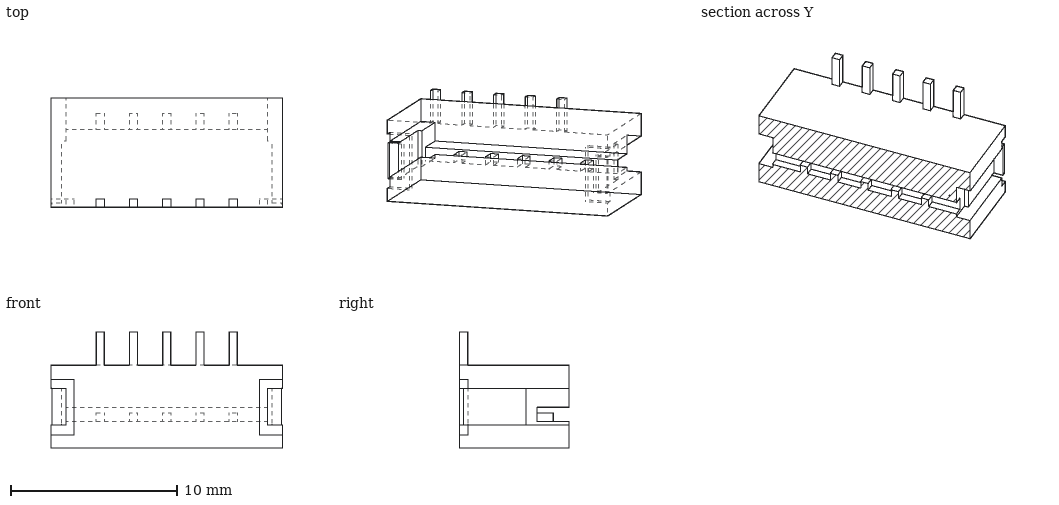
import cadquery as cq

length = 13.95
depth = 6.6
height = 5.0
front_y = -depth / 2
back_y = depth / 2
end_x = length / 2

groove_depth = 0.9
groove_bottom_z = 1.4
groove_height = 2.2

pocket_width = 1.4
pocket_depth = 0.5
pocket_bottom_z = 0.8
pocket_top_z = 4.15

slot_depth = 1.92
slot_bottom_z = 1.62
slot_height = 0.83

tab_thickness = 0.25
tab_length = 4.0
tab_end_gap = 0.05

pin_count = 5
pin_pitch = 2.0
pin_size = 0.5
pin_tail_height = 2.0
pin_tip_length = 0.97


def block(x_range, y_range, z_range):
    """Box filling the given (low, high) ranges along X, Y and Z."""
    size = [high - low for low, high in (x_range, y_range, z_range)]
    corner = (x_range[0], y_range[0], z_range[0])
    return cq.Workplane("XY").box(*size, centered=False).translate(corner)


def both_ends(left_shape):
    """A shape at the -X end together with its mirror image at the +X end."""
    return left_shape.union(left_shape.mirror("YZ"))


def end_groove():
    return block(
        (-end_x, -end_x + groove_depth),
        (front_y, back_y),
        (groove_bottom_z, groove_bottom_z + groove_height),
    )


def tab_pocket():
    return block(
        (-end_x, -end_x + pocket_width),
        (front_y, front_y + pocket_depth),
        (pocket_bottom_z, pocket_top_z),
    )


def mating_slot():
    return block(
        (-end_x, end_x),
        (back_y - slot_depth, back_y),
        (slot_bottom_z, slot_bottom_z + slot_height),
    )


def solder_tab():
    """Leg lying on the groove floor, with a foot bent outward at the front."""
    inner_x = -end_x + groove_depth
    z_range = (groove_bottom_z, groove_bottom_z + groove_height)
    leg = block((inner_x - tab_thickness, inner_x), (front_y, front_y + tab_length), z_range)
    foot = block((-end_x + tab_end_gap, inner_x), (front_y, front_y + tab_thickness), z_range)
    return leg.union(foot)


def contact(center_x):
    """Tail standing on the housing top, and tip lying on the slot floor."""
    x_range = (center_x - pin_size / 2, center_x + pin_size / 2)
    slot_end_y = back_y - slot_depth
    tail = block(x_range, (front_y, front_y + pin_size), (height, height + pin_tail_height))
    tip = block(
        x_range,
        (slot_end_y, slot_end_y + pin_tip_length),
        (slot_bottom_z, slot_bottom_z + pin_size),
    )
    return tail.union(tip)


result = block((-end_x, end_x), (front_y, back_y), (0, height))
result = result.cut(both_ends(end_groove()))
result = result.cut(both_ends(tab_pocket()))
result = result.cut(mating_slot())
result = result.union(both_ends(solder_tab()))
for index in range(pin_count):
    result = result.union(contact((index - (pin_count - 1) / 2) * pin_pitch))
result = result.clean()